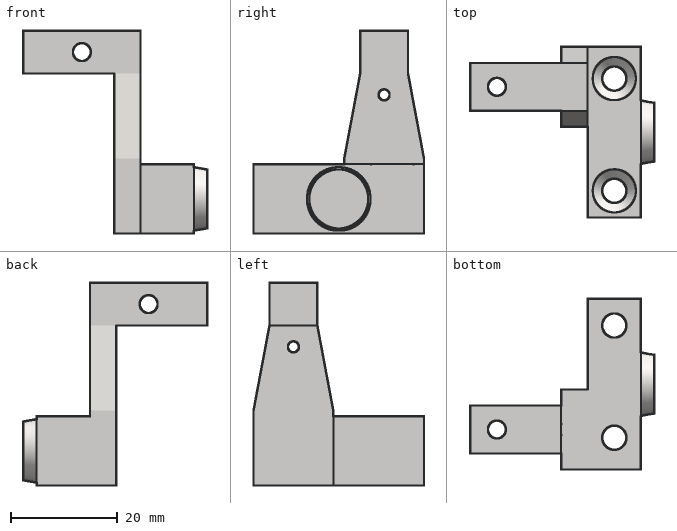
import cadquery as cq
import math

total_height = 38.0
block_width = 32.0

bar_length = 22.0
bar_width = 9.0
bar_height = 8.0
bar_hole_diameter = 3.3
vertical_hole_x = 5.0

plate_thickness = 4.98
plate_width = 15.0
taper_start_z = 14.0
plate_hole_diameter = 2.0
plate_hole_z = 26.0

block_depth = 10.0
block_height = 13.0
screw_hole_diameter = 4.5
countersink_diameter = 8.1
countersink_angle = 90.0
first_screw_y = 5.0
screw_spacing = 21.0
screw_count = 2

boss_length = 2.5
boss_base_diameter = 11.95
boss_draft_angle = 10.0

bar_bottom_z = total_height - bar_height
arm_center_y = block_width - plate_width / 2
plate_front_x = bar_length - plate_thickness
block_back_x = bar_length + block_depth


def make_bar():
    """Horizontal bar with one cross hole and one vertical hole."""
    bar = (
        cq.Workplane("XY")
        .box(bar_length, bar_width, bar_height, centered=(False, True, False))
        .translate((0, arm_center_y, bar_bottom_z))
    )
    bar = bar.faces("<Y").workplane(centerOption="CenterOfBoundBox").hole(bar_hole_diameter)
    return (
        bar.faces(">Z")
        .workplane(origin=(vertical_hole_x, arm_center_y, total_height))
        .hole(bar_hole_diameter)
    )


def make_plate():
    """Upright plate with tapered sides and a small through hole."""
    right_y = arm_center_y - plate_width / 2
    left_y = arm_center_y + plate_width / 2
    outline = [
        (right_y, 0),
        (left_y, 0),
        (left_y, taper_start_z),
        (arm_center_y + bar_width / 2, bar_bottom_z),
        (arm_center_y - bar_width / 2, bar_bottom_z),
        (right_y, taper_start_z),
    ]
    plane = cq.Workplane("YZ", origin=(plate_front_x, 0, 0))
    plate = plane.polyline(outline).close().extrude(plate_thickness)
    hole = (
        plane.center(arm_center_y, plate_hole_z)
        .circle(plate_hole_diameter / 2)
        .extrude(plate_thickness)
    )
    return plate.cut(hole)


def make_block():
    """Mounting block with countersunk vertical holes."""
    block = (
        cq.Workplane("XY")
        .box(block_depth, block_width, block_height, centered=False)
        .translate((bar_length, 0, 0))
    )
    screw_x = bar_length + block_depth / 2
    screw_points = [(screw_x, first_screw_y + i * screw_spacing) for i in range(screw_count)]
    return (
        block.faces(">Z")
        .workplane(origin=(0, 0, block_height))
        .pushPoints(screw_points)
        .cskHole(screw_hole_diameter, countersink_diameter, countersink_angle)
    )


def make_boss():
    """Conical boss narrowing away from the block."""
    base_radius = boss_base_diameter / 2
    end_radius = base_radius - boss_length * math.tan(math.radians(boss_draft_angle))
    base_center = cq.Vector(block_back_x, block_width / 2, block_height / 2)
    cone = cq.Solid.makeCone(base_radius, end_radius, boss_length, base_center, cq.Vector(1, 0, 0))
    return cq.Workplane(obj=cone)


result = make_bar().union(make_plate()).union(make_block()).union(make_boss())